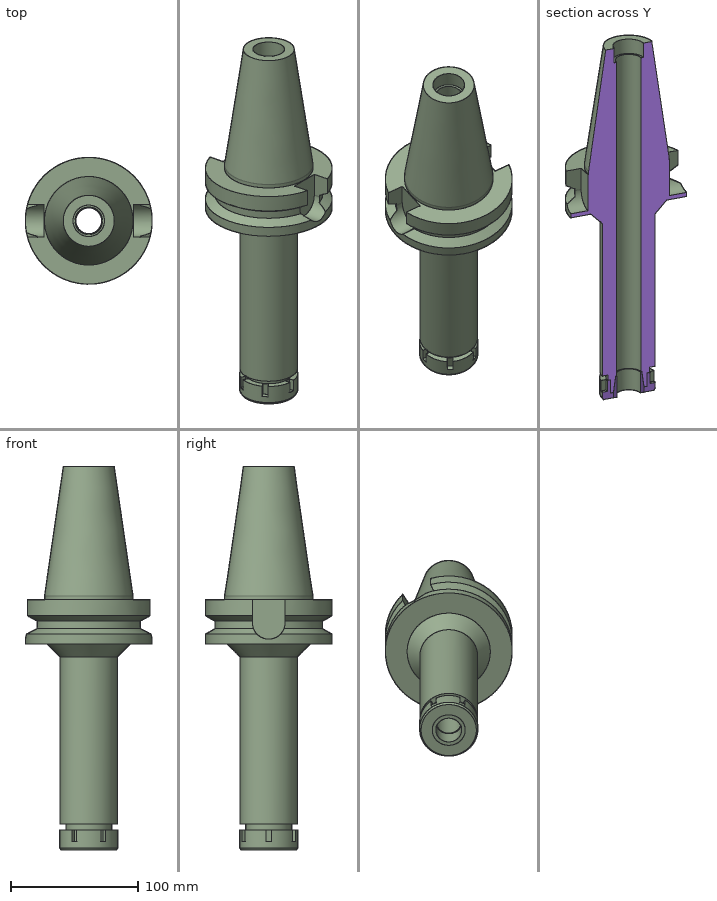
import cadquery as cq
import math

TOTAL_HEIGHT = 301.8

TAPER_TOP_DIAMETER = 40.0
TAPER_BASE_DIAMETER = 69.7
TAPER_LENGTH = 101.7
COLLAR_HEIGHT = 3.0

FLANGE_DIAMETER = 100.0
FLANGE_THICKNESS = 35.0
UPPER_RIM_HEIGHT = 12.7
LOWER_RIM_HEIGHT = 7.8
GROOVE_FLOOR_DIAMETER = 85.0
GROOVE_SLOPE = 30.0

DRIVE_SLOT_WIDTH = 25.7
DRIVE_SLOT_DEPTH = 31.0
DRIVE_SLOT_FLOOR_X = 35.3

SHANK_DIAMETER = 45.5
SHANK_BOTTOM_Z = 20.5
UNDERCONE_HEIGHT = 10.0
NECK_DIAMETER = 36.2
NOSE_DIAMETER = 32.0
NOSE_BOTTOM_Z = 4.5

TOP_BORE_DIAMETER = 24.7
TOP_BORE_DEPTH = 12.5
THROUGH_BORE_DIAMETER = 21.0

NUT_DIAMETER = 46.0
NUT_HEIGHT = 16.0
NUT_CHAMFER_HEIGHT = 1.8
NUT_CHAMFER_WIDTH = 1.2
NUT_SLOT_COUNT = 6
NUT_SLOT_WIDTH = 4.5
NUT_SLOT_HEIGHT = 9.0
NUT_SLOT_FLOOR_X = 18.7

COLLET_DIAMETER = 26.0
COLLET_LENGTH = 18.0
COLLET_HALF_ANGLE = 8.0
COLLET_BORE_DIAMETER = 20.2

TAPER_BASE_Z = TOTAL_HEIGHT - TAPER_LENGTH
FLANGE_TOP_Z = TAPER_BASE_Z - COLLAR_HEIGHT
FLANGE_BOTTOM_Z = FLANGE_TOP_Z - FLANGE_THICKNESS
SHANK_TOP_Z = FLANGE_BOTTOM_Z - UNDERCONE_HEIGHT

COLLET_TAPER_LENGTH = COLLET_LENGTH - NOSE_BOTTOM_Z
COLLET_END_RADIUS = COLLET_DIAMETER / 2 - COLLET_TAPER_LENGTH * math.tan(math.radians(COLLET_HALF_ANGLE))


def turned(profile):
    """Solid of revolution about Z from a closed outline of (radius, z) points."""
    return cq.Workplane("XZ").polyline(profile).close().revolve(360, (0, 0, 0), (0, 1, 0))


def cylinder(diameter, bottom_z, top_z):
    return cq.Workplane("XY").workplane(offset=bottom_z).circle(diameter / 2).extrude(top_z - bottom_z)


def collet_blank():
    """Collet without its bore: a short cylinder, then a cone narrowing upward."""
    return turned([
        (0, 0),
        (COLLET_DIAMETER / 2, 0),
        (COLLET_DIAMETER / 2, NOSE_BOTTOM_Z),
        (COLLET_END_RADIUS, COLLET_LENGTH),
        (0, COLLET_LENGTH),
    ])


def holder_blank():
    """Turned outside of the holder, from the nose up to the small end of the taper."""
    flange_radius = FLANGE_DIAMETER / 2
    groove_radius = GROOVE_FLOOR_DIAMETER / 2
    flank_height = (flange_radius - groove_radius) * math.tan(math.radians(GROOVE_SLOPE))
    groove_bottom_z = FLANGE_BOTTOM_Z + LOWER_RIM_HEIGHT
    groove_top_z = FLANGE_TOP_Z - UPPER_RIM_HEIGHT
    return turned([
        (0, NOSE_BOTTOM_Z),
        (NOSE_DIAMETER / 2, NOSE_BOTTOM_Z),
        (NOSE_DIAMETER / 2, NUT_HEIGHT),
        (NECK_DIAMETER / 2, NUT_HEIGHT),
        (NECK_DIAMETER / 2, SHANK_BOTTOM_Z),
        (SHANK_DIAMETER / 2, SHANK_BOTTOM_Z),
        (SHANK_DIAMETER / 2, SHANK_TOP_Z),
        (SHANK_DIAMETER / 2 + UNDERCONE_HEIGHT, FLANGE_BOTTOM_Z),
        (flange_radius, FLANGE_BOTTOM_Z),
        (flange_radius, groove_bottom_z),
        (groove_radius, groove_bottom_z + flank_height),
        (groove_radius, groove_top_z - flank_height),
        (flange_radius, groove_top_z),
        (flange_radius, FLANGE_TOP_Z),
        (TAPER_BASE_DIAMETER / 2, FLANGE_TOP_Z),
        (TAPER_BASE_DIAMETER / 2, TAPER_BASE_Z),
        (TAPER_TOP_DIAMETER / 2, TOTAL_HEIGHT),
        (0, TOTAL_HEIGHT),
    ])


def drive_slot():
    """Round-ended slot cutter on the +X side, open at the flange top and rim."""
    half_width = DRIVE_SLOT_WIDTH / 2
    slot_bottom_z = FLANGE_TOP_Z - DRIVE_SLOT_DEPTH
    round_center_z = slot_bottom_z + half_width
    return (
        cq.Workplane("YZ", origin=(DRIVE_SLOT_FLOOR_X, 0, 0))
        .moveTo(-half_width, FLANGE_TOP_Z)
        .lineTo(-half_width, round_center_z)
        .threePointArc((0, slot_bottom_z), (half_width, round_center_z))
        .lineTo(half_width, FLANGE_TOP_Z)
        .close()
        .extrude(FLANGE_DIAMETER / 2)
    )


def make_holder():
    holder = holder_blank()
    for angle in (0, 180):
        holder = holder.cut(drive_slot().rotate((0, 0, 0), (0, 0, 1), angle))
    holder = holder.cut(cylinder(TOP_BORE_DIAMETER, TOTAL_HEIGHT - TOP_BORE_DEPTH, TOTAL_HEIGHT))
    holder = holder.cut(cylinder(THROUGH_BORE_DIAMETER, NOSE_BOTTOM_Z, TOTAL_HEIGHT))
    return holder.cut(collet_blank())


def nut_slot():
    """Spanner slot cutter on the +X side, with a flat floor and open at the nut top."""
    return (
        cq.Workplane("XY", origin=(NUT_SLOT_FLOOR_X, 0, NUT_HEIGHT - NUT_SLOT_HEIGHT))
        .rect(NUT_DIAMETER, NUT_SLOT_WIDTH, centered=(False, True))
        .extrude(NUT_SLOT_HEIGHT)
    )


def make_nut():
    nut_radius = NUT_DIAMETER / 2
    nut = turned([
        (COLLET_DIAMETER / 2, 0),
        (nut_radius - NUT_CHAMFER_WIDTH, 0),
        (nut_radius, NUT_CHAMFER_HEIGHT),
        (nut_radius, NUT_HEIGHT),
        (NOSE_DIAMETER / 2, NUT_HEIGHT),
        (NOSE_DIAMETER / 2, NOSE_BOTTOM_Z),
        (COLLET_DIAMETER / 2, NOSE_BOTTOM_Z),
    ])
    for i in range(NUT_SLOT_COUNT):
        nut = nut.cut(nut_slot().rotate((0, 0, 0), (0, 0, 1), i * 360 / NUT_SLOT_COUNT))
    return nut


def make_collet():
    return collet_blank().cut(cylinder(COLLET_BORE_DIAMETER, 0, COLLET_LENGTH))


holder = make_holder()
nut = make_nut()
collet = make_collet()

result = cq.Compound.makeCompound([holder.val(), nut.val(), collet.val()])